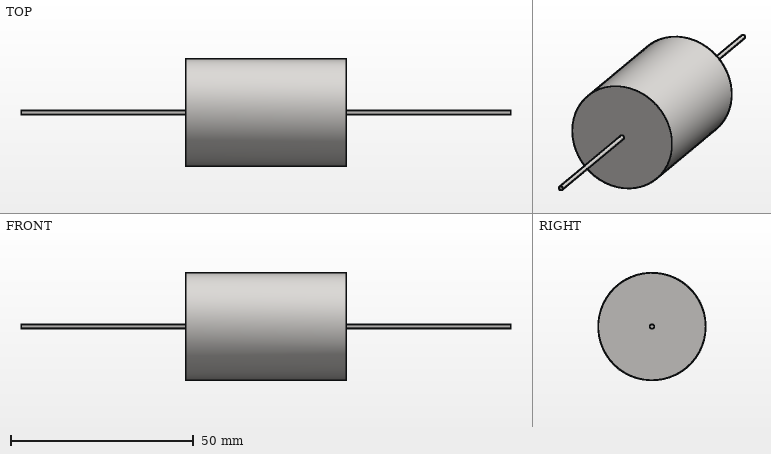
import cadquery as cq

lead_length = 134.0
lead_diameter = 1.2
case_length = 44.0
case_diameter = 29.5


def rod_along_x(diameter, length):
    """Round rod on the X axis, centred on the origin."""
    start_plane = cq.Workplane("YZ").workplane(offset=-length / 2)
    return start_plane.circle(diameter / 2).extrude(length)


def make_case():
    """Plain cylinder with a through bore that the lead wire fills."""
    bore = rod_along_x(lead_diameter, case_length)
    return rod_along_x(case_diameter, case_length).cut(bore)


def make_lead_wire():
    """Single straight wire that runs through the case and sticks out equally at both ends."""
    return rod_along_x(lead_diameter, lead_length)


case = make_case()
lead_wire = make_lead_wire()

result = cq.Compound.makeCompound([case.val(), lead_wire.val()])